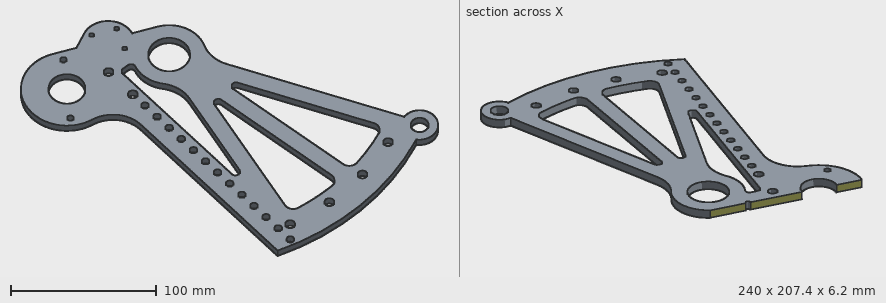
import cadquery as cq
import math

THICKNESS = 6.2
BLEND_RADIUS = 25.5

PIVOT = (0, 0)
PIVOT_RADIUS = 25.5
PIVOT_BORE = 28.8
LOWER = (-23.5, -72.5)
LOWER_RADIUS = 31.7
LOWER_BORE = 25.5
EAR = (-35.8, -24.5)
EAR_RADIUS = 18.0
EAR_FLANK_ANGLE = 206
EAR_FLANK_LENGTH = 15.5
LUG = (158.5, 90.5)
LUG_RADIUS = 12.7
LUG_BORE = 12.2

RIM_RADIUS = 184.8
RIM_INNER_RADIUS = 159.0
SPOKE_HALF_WIDTH = 6.2
TOP_SPOKE_ANGLE = 28.7
SPOKE_PITCH = 20.2
MIDDLE_SPOKE_ANGLE = TOP_SPOKE_ANGLE - SPOKE_PITCH
BOTTOM_SPOKE_ANGLE = MIDDLE_SPOKE_ANGLE - SPOKE_PITCH
BOTTOM_EDGE_Y = -54.2

TIP_RADIUS = 3.0
RIM_CORNER_RADIUS = 6.5
SLOT_LEFT = -11.5
SLOT_RIGHT = 109.2
SLOT_BOTTOM = -34.8
SLOT_CORNER_RADIUS = 2.9

RIM_HOLE_RADIUS = 168.2
RIM_HOLE_PITCH_ANGLE = 11.25
RIM_HOLE_STEPS = (-1, 0, 1, 2)
LARGE_HOLE = 6.7
ROW_Y = -41.3
ROW_PITCH = 12.7
ROW_START_X = 9.5
ROW_HOLE = 5.3
ROW_COUNT = 13
EAR_HOLE = 3.4
EAR_HOLE_CIRCLE_RADIUS = 12.7
EAR_HOLE_ANGLES = (22, 112, 202)
LOWER_SCREW_HOLE = 4.5
LOWER_SCREW_OFFSET = (20.6, -14.6)


def polar(radius, angle, center=(0, 0)):
    """Point at an angle in degrees on a circle."""
    turn = math.radians(angle)
    return (center[0] + radius * math.cos(turn), center[1] + radius * math.sin(turn))


def spoke_point(angle, along, across):
    """Point measured along a spoke axis and across it, positive to the left."""
    x, y = polar(along, angle)
    return polar(across, angle + 90, (x, y))


def toward(start, target, distance):
    """Point at a distance from start in the direction of target."""
    share = distance / math.dist(start, target)
    return (start[0] + share * (target[0] - start[0]), start[1] + share * (target[1] - start[1]))


def arc_middle(center, radius, first, last):
    """Middle of the minor arc between two points on a circle."""
    return toward(center, ((first[0] + last[0]) / 2, (first[1] + last[1]) / 2), radius)


def spoke_blend(angle, side):
    """Pivot-side point, middle and spoke-side point of the blend; side is 1 left, -1 right."""
    rise = SPOKE_HALF_WIDTH + BLEND_RADIUS
    along = math.sqrt((PIVOT_RADIUS + BLEND_RADIUS) ** 2 - rise**2)
    center = spoke_point(angle, along, side * rise)
    on_pivot = toward(PIVOT, center, PIVOT_RADIUS)
    on_spoke = spoke_point(angle, along, side * SPOKE_HALF_WIDTH)
    return on_pivot, arc_middle(center, BLEND_RADIUS, on_pivot, on_spoke), on_spoke


def disc(center, radius):
    return cq.Workplane("XY").center(*center).circle(radius).extrude(THICKNESS)


def make_body():
    rim_along = math.sqrt(RIM_RADIUS**2 - SPOKE_HALF_WIDTH**2)
    rim_top = spoke_point(TOP_SPOKE_ANGLE, rim_along, SPOKE_HALF_WIDTH)
    rim_bottom = (math.sqrt(RIM_RADIUS**2 - BOTTOM_EDGE_Y**2), BOTTOM_EDGE_Y)
    blend_start, blend_middle, blend_end = spoke_blend(TOP_SPOKE_ANGLE, 1)

    axis_angle = math.degrees(math.atan2(PIVOT[1] - LOWER[1], PIVOT[0] - LOWER[0]))
    taper = math.degrees(math.asin((LOWER_RADIUS - PIVOT_RADIUS) / math.dist(PIVOT, LOWER)))
    normal_angle = axis_angle + 90 - taper
    pivot_tangent = polar(PIVOT_RADIUS, normal_angle, PIVOT)
    lower_tangent = polar(LOWER_RADIUS, normal_angle, LOWER)

    corner_y = BOTTOM_EDGE_Y - BLEND_RADIUS
    reach = math.sqrt((LOWER_RADIUS + BLEND_RADIUS) ** 2 - (corner_y - LOWER[1]) ** 2)
    corner_center = (LOWER[0] + reach, corner_y)
    corner_start = toward(LOWER, corner_center, LOWER_RADIUS)
    corner_end = (corner_center[0], BOTTOM_EDGE_Y)

    return (
        cq.Workplane("XY")
        .moveTo(*rim_bottom)
        .threePointArc((RIM_RADIUS, 0), rim_top)
        .lineTo(*blend_end)
        .threePointArc(blend_middle, blend_start)
        .threePointArc(arc_middle(PIVOT, PIVOT_RADIUS, blend_start, pivot_tangent), pivot_tangent)
        .lineTo(*lower_tangent)
        .threePointArc((LOWER[0], LOWER[1] - LOWER_RADIUS), corner_start)
        .threePointArc(arc_middle(corner_center, BLEND_RADIUS, corner_start, corner_end), corner_end)
        .close()
        .extrude(THICKNESS)
    )


def make_ear():
    flank_start = polar(EAR_RADIUS, EAR_FLANK_ANGLE, EAR)
    flank_end = polar(EAR_FLANK_LENGTH, EAR_FLANK_ANGLE + 90, flank_start)
    flank = cq.Workplane("XY").polyline([EAR, flank_start, flank_end]).close().extrude(THICKNESS)
    return disc(EAR, EAR_RADIUS).union(flank)


def sector_window(upper_angle, lower_angle):
    """Rounded opening between two neighbouring spokes and the rim."""
    half_angle = (upper_angle - lower_angle) / 2
    apex = polar(SPOKE_HALF_WIDTH / math.sin(math.radians(half_angle)), lower_angle + half_angle)
    along = math.sqrt(RIM_INNER_RADIUS**2 - SPOKE_HALF_WIDTH**2)
    lower_corner = spoke_point(lower_angle, along, SPOKE_HALF_WIDTH)
    upper_corner = spoke_point(upper_angle, along, -SPOKE_HALF_WIDTH)
    window = (
        cq.Workplane("XY")
        .moveTo(*apex)
        .lineTo(*lower_corner)
        .threePointArc(polar(RIM_INNER_RADIUS, lower_angle + half_angle), upper_corner)
        .close()
        .extrude(THICKNESS)
    )
    tip_edge = cq.selectors.NearestToPointSelector((*apex, THICKNESS / 2))
    window = window.edges("|Z").edges(tip_edge).fillet(TIP_RADIUS)
    for corner in (lower_corner, upper_corner):
        corner_edge = cq.selectors.NearestToPointSelector((*corner, THICKNESS / 2))
        window = window.edges("|Z").edges(corner_edge).fillet(RIM_CORNER_RADIUS)
    return window


def lower_slot():
    """Opening below the pivot boss and the bottom spoke."""
    blend_start, blend_middle, blend_end = spoke_blend(BOTTOM_SPOKE_ANGLE, -1)
    slope = math.radians(BOTTOM_SPOKE_ANGLE)
    top_right = (SLOT_RIGHT, SLOT_RIGHT * math.tan(slope) - SPOKE_HALF_WIDTH / math.cos(slope))
    top_left = (SLOT_LEFT, -math.sqrt(PIVOT_RADIUS**2 - SLOT_LEFT**2))
    bottom_left = (SLOT_LEFT, SLOT_BOTTOM)
    bottom_right = (SLOT_RIGHT, SLOT_BOTTOM)
    slot = (
        cq.Workplane("XY")
        .moveTo(*bottom_left)
        .lineTo(*bottom_right)
        .lineTo(*top_right)
        .lineTo(*blend_end)
        .threePointArc(blend_middle, blend_start)
        .threePointArc((0, -PIVOT_RADIUS), top_left)
        .close()
        .extrude(THICKNESS)
    )
    for corner in (bottom_left, bottom_right, top_right, top_left):
        corner_edge = cq.selectors.NearestToPointSelector((*corner, THICKNESS / 2))
        slot = slot.edges("|Z").edges(corner_edge).fillet(SLOT_CORNER_RADIUS)
    return slot


def drill(plate, points, diameter):
    holes = cq.Workplane("XY").pushPoints(points).circle(diameter / 2).extrude(THICKNESS)
    return plate.cut(holes)


plate = make_body().union(make_ear()).union(disc(LUG, LUG_RADIUS))
plate = plate.cut(sector_window(TOP_SPOKE_ANGLE, MIDDLE_SPOKE_ANGLE))
plate = plate.cut(sector_window(MIDDLE_SPOKE_ANGLE, BOTTOM_SPOKE_ANGLE))
plate = plate.cut(lower_slot())

plate = drill(plate, [PIVOT], PIVOT_BORE)
plate = drill(plate, [LOWER], LOWER_BORE)
plate = drill(plate, [LUG], LUG_BORE)

rim_holes = [polar(RIM_HOLE_RADIUS, step * RIM_HOLE_PITCH_ANGLE) for step in RIM_HOLE_STEPS]
row_large_holes = [(ROW_START_X - 2 * ROW_PITCH, ROW_Y), (ROW_START_X, ROW_Y)]
row_holes = [(ROW_START_X + step * ROW_PITCH, ROW_Y) for step in range(1, ROW_COUNT + 1)]
plate = drill(plate, rim_holes + row_large_holes, LARGE_HOLE)
plate = drill(plate, row_holes, ROW_HOLE)

ear_holes = [polar(EAR_HOLE_CIRCLE_RADIUS, angle, EAR) for angle in EAR_HOLE_ANGLES]
lower_screws = [
    (LOWER[0] + side * LOWER_SCREW_OFFSET[0], LOWER[1] + side * LOWER_SCREW_OFFSET[1])
    for side in (-1, 1)
]
plate = drill(plate, ear_holes, EAR_HOLE)
plate = drill(plate, lower_screws, LOWER_SCREW_HOLE)

result = plate